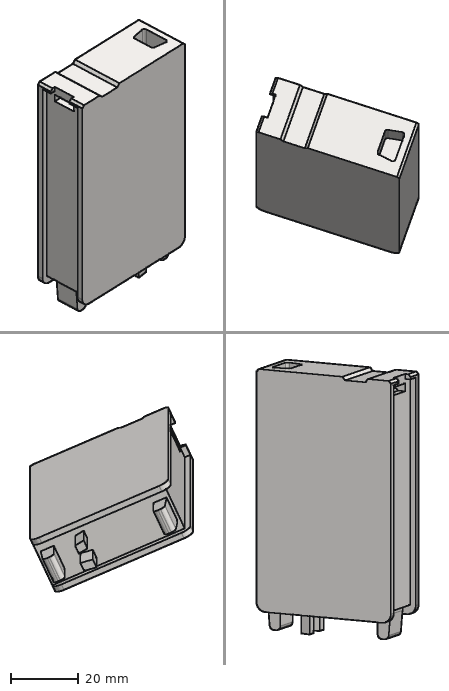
import cadquery as cq

WIDTH = 18.0
DEPTH = 45.0
HEIGHT = 79.7
FRONT = -DEPTH / 2
REAR = DEPTH / 2

SKIRT_BOTTOM = 6.45
CORNER_RADIUS = 2.95
TOP_CHAMFER = 0.8
WALL = 1.9
CORE_BOTTOM = SKIRT_BOTTOM + CORNER_RADIUS
INNER_WIDTH = WIDTH - 2 * WALL

GROOVE_START = 28.8
GROOVE_END = 37.4
GROOVE_DEPTH = 1.0
GROOVE_SLOPE = 0.95

PANEL_RECESS = 1.8
TOP_LIP = 1.5
LATCH_WIDTH = 7.6
SLOT_TOP = HEIGHT - 2.9
SLOT_BOTTOM = HEIGHT - 5.3
SLOT_DEPTH = 3.2
SLOT_RAMP = 0.8

POCKET_REAR_WIDTH = 9.9
POCKET_FRONT_WIDTH = 8.0
POCKET_REAR_GAP = 2.95
POCKET_LENGTH = 5.8
POCKET_DEPTH = 8.0
POCKET_RADIUS = 0.8

FOOT_WIDTH = 8.0
FOOT_TAPER = 0.8
FOOT_TIP_RADIUS = 1.5
REAR_FOOT_GAP = 1.3
REAR_FOOT_LENGTH = 5.3
REAR_FOOT_TIP = 0.2
FRONT_FOOT_GAP = 2.8
FRONT_FOOT_LENGTH = 5.4
FRONT_FOOT_TIP = 0.5
FOOT_TAPER_START = 8.3

BLADE_OUTER_X = 4.6
BLADE_INNER_X = 1.9
BLADE_SLANT = 0.5
BLADE_FRONT = REAR - 15.55
LEFT_BLADE_LENGTH = 3.0
RIGHT_BLADE_LENGTH = 3.8


def box(width, y_min, y_max, z_min, z_max):
    """Box centred on X = 0."""
    block = cq.Workplane("XY").box(width, y_max - y_min, z_max - z_min, centered=(True, False, False))
    return block.translate((0, y_min, z_min))


def extrude_along_x(points, width):
    """Extrude a (Y, Z) outline symmetrically about X = 0."""
    return cq.Workplane("YZ").polyline(points).close().extrude(width / 2, both=True)


def make_housing():
    housing = box(WIDTH, FRONT, REAR, SKIRT_BOTTOM, HEIGHT)
    housing = housing.edges("|X and >Z").chamfer(TOP_CHAMFER)
    housing = housing.edges("|X and <Z").fillet(CORNER_RADIUS)
    return housing.cut(box(INNER_WIDTH, FRONT, REAR, SKIRT_BOTTOM, CORE_BOTTOM))


def make_top_groove():
    start = REAR - GROOVE_START
    end = REAR - GROOVE_END
    floor = HEIGHT - GROOVE_DEPTH
    outline = [(start, HEIGHT), (start - GROOVE_SLOPE, floor), (end + GROOVE_SLOPE, floor), (end, HEIGHT)]
    return extrude_along_x(outline, WIDTH)


def make_front_recess():
    panel = FRONT + PANEL_RECESS
    recess = box(INNER_WIDTH, FRONT, panel, SKIRT_BOTTOM, HEIGHT - TOP_LIP)
    notch = box(LATCH_WIDTH, FRONT, panel, HEIGHT - TOP_LIP, HEIGHT)
    return recess.union(notch)


def make_latch_slot():
    """Slot with a flat floor that ends in a 45 degree ramp at the back."""
    panel = FRONT + PANEL_RECESS
    back = panel + SLOT_DEPTH
    outline = [
        (panel, SLOT_BOTTOM),
        (back - SLOT_RAMP, SLOT_BOTTOM),
        (back, SLOT_BOTTOM + SLOT_RAMP),
        (back, SLOT_TOP),
        (panel, SLOT_TOP),
    ]
    return extrude_along_x(outline, LATCH_WIDTH)


def make_top_pocket():
    y_rear = REAR - POCKET_REAR_GAP
    y_front = y_rear - POCKET_LENGTH
    half_rear = POCKET_REAR_WIDTH / 2
    half_front = POCKET_FRONT_WIDTH / 2
    outline = [(-half_rear, y_rear), (half_rear, y_rear), (half_front, y_front), (-half_front, y_front)]
    pocket = cq.Workplane("XY").workplane(offset=HEIGHT).polyline(outline).close().extrude(-POCKET_DEPTH)
    return pocket.edges("|Z").fillet(POCKET_RADIUS)


def make_foot(outer_y, length, tip_z, inward):
    """Foot tapered on its outer side; inward is the Y sign pointing to the part's middle."""
    inner_y = outer_y + inward * length
    outline = [
        (outer_y, CORE_BOTTOM),
        (outer_y, FOOT_TAPER_START),
        (outer_y + inward * FOOT_TAPER, tip_z),
        (inner_y, tip_z),
        (inner_y, CORE_BOTTOM),
    ]
    return extrude_along_x(outline, FOOT_WIDTH).edges("|X and <Z").fillet(FOOT_TIP_RADIUS)


def make_blade(side, length):
    """Slanted blade; side is -1 for the -X blade and +1 for the +X blade."""
    rear_y = BLADE_FRONT + length
    outline = [
        (side * BLADE_OUTER_X, BLADE_FRONT),
        (side * BLADE_INNER_X, BLADE_FRONT),
        (side * (BLADE_INNER_X - BLADE_SLANT), rear_y),
        (side * (BLADE_OUTER_X - BLADE_SLANT), rear_y),
    ]
    return cq.Workplane("XY").polyline(outline).close().extrude(CORE_BOTTOM)


result = make_housing()
for cutter in (make_top_groove(), make_front_recess(), make_latch_slot(), make_top_pocket()):
    result = result.cut(cutter)

additions = (
    make_foot(REAR - REAR_FOOT_GAP, REAR_FOOT_LENGTH, REAR_FOOT_TIP, -0.8),
    make_foot(FRONT + FRONT_FOOT_GAP, FRONT_FOOT_LENGTH, FRONT_FOOT_TIP, 0.8),
    make_blade(-1, LEFT_BLADE_LENGTH),
    make_blade(1, RIGHT_BLADE_LENGTH),
)
for addition in additions:
    result = result.union(addition)